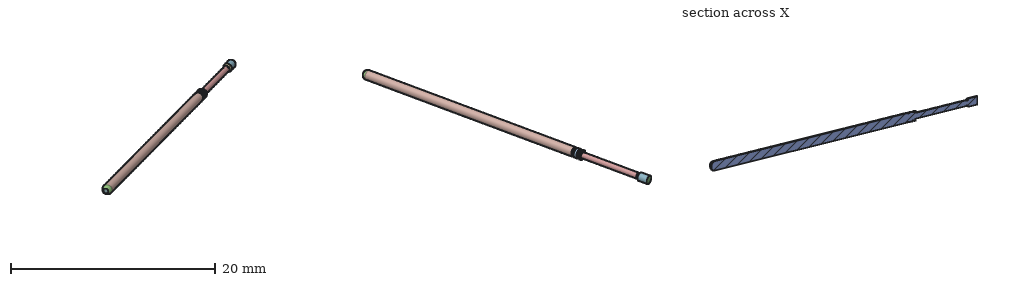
import cadquery as cq

total_length = 33.1

barrel_radius = 0.51
barrel_length = 25.4
tail_length = 0.4
tail_flat_radius = 0.25

groove_width = 0.3
groove_depth = 0.08
groove_count = 2
groove_pitch = 0.6
first_groove_from_mouth = 0.28

shaft_radius = 0.325
neck_radius = 0.22
head_radius = 0.45
head_length = 1.05
head_taper_length = 0.25


def revolve_about_y(outline):
    return outline.close().revolve(360, (0, 0, 0), (0, 1, 0))


def make_barrel():
    """Solid barrel whose side curves tangentially into a small flat at the tail."""
    tail_drop = barrel_radius - tail_flat_radius
    tail_arc_radius = (tail_length**2 + tail_drop**2) / (2 * tail_drop)
    return revolve_about_y(
        cq.Workplane("XY")
        .lineTo(tail_flat_radius, 0)
        .radiusArc((barrel_radius, tail_length), -tail_arc_radius)
        .lineTo(barrel_radius, barrel_length)
        .lineTo(0, barrel_length)
    )


def make_groove(y_center):
    """Ring of triangular section that cuts a V groove around the barrel."""
    half_width = groove_width / 2
    return revolve_about_y(
        cq.Workplane("XY")
        .moveTo(barrel_radius, y_center - half_width)
        .lineTo(barrel_radius - groove_depth, y_center)
        .lineTo(barrel_radius, y_center + half_width)
    )


def make_plunger():
    """Exposed shaft and flat head, joined by a cone that narrows to a neck slimmer than the shaft."""
    head_back = total_length - head_length
    taper_start = head_back - head_taper_length
    return revolve_about_y(
        cq.Workplane("XY")
        .moveTo(0, barrel_length)
        .lineTo(shaft_radius, barrel_length)
        .lineTo(shaft_radius, taper_start)
        .lineTo(neck_radius, taper_start)
        .lineTo(head_radius, head_back)
        .lineTo(head_radius, total_length)
        .lineTo(0, total_length)
    )


barrel = make_barrel()
for groove_index in range(groove_count):
    groove_y = barrel_length - first_groove_from_mouth - groove_index * groove_pitch
    barrel = barrel.cut(make_groove(groove_y))

result = barrel.union(make_plunger())